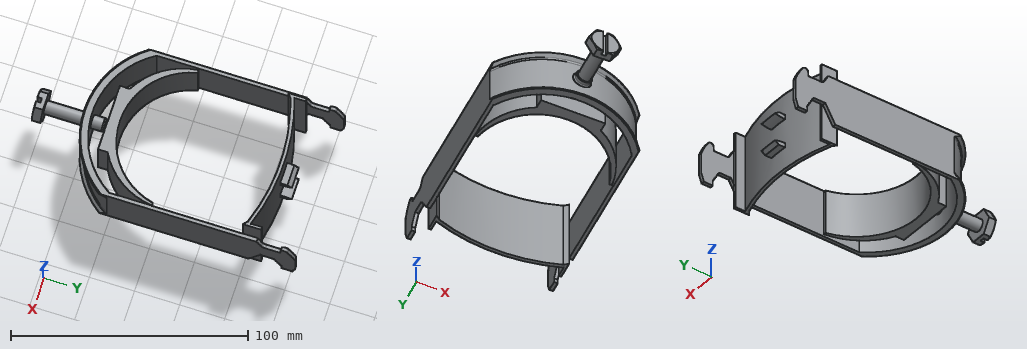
import cadquery as cq
import math


outer_width = 68.0
leg_end_y = 62.8
strap_thickness = 1.8
strap_height = 23.8
bow_outer_radius = 39.8

lip_angle = 45.0
lip_root_z = 9.7
lip_reach = 1.9
lip_edge_chamfer = 0.5
lip_root_radius = 1.3

neck_top_z = 7.3
neck_bottom_z = -2.9
shoulder_angle = 60.0
shoulder_top_y = 45.7
shoulder_bottom_y = 42.0
shoulder_fillet = 2.0
lobe_radius = 1.6
lobe_centre_y = 57.9
lobe_centre_z = 9.2
lobe_root_fillet = 0.5
back_mid_point = (61.2, 6.8)
back_top_z = 3.3
back_bottom_z = -7.3
beak_z = -11.2
beak_outer_y = 61.5
beak_inner_y = 56.7
beak_root_y = 53.3

shank_radius = 3.0
point_radius = 2.3
point_length = 1.6
point_chamfer = 0.4
point_chamfer_length = 0.8
head_end_y = -62.8
head_height = 4.0
head_across_corners = 15.0
head_face_radius = 6.4
head_chamfer_depth = 0.4
slot_width = 2.0
slot_depth = 2.0
collar_radius = 3.6
collar_height = 2.1
collar_fillet = 0.6

saddle_height = 22.2
saddle_tip_y = -1.4
saddle_inner_radius = 31.4
saddle_inner_centre_y = 5.5
saddle_outer_radius = 32.0
saddle_outer_centre_y = 1.9
saddle_pad_width = 29.9
saddle_pad_y = -30.7

bridge_width = 61.7
bridge_height = 39.0
bridge_thickness = 1.6
bridge_outer_radius = 91.2
bridge_crown_y = 46.7
bridge_end_y = 38.7
flange_thickness = 1.3
flange_heel = 2.0
clip_width = 9.5
clip_tip = (51.8, 7.0)
clip_inner_mid = (49.7, 6.5)
clip_inner_root_z = 6.3
clip_outer_z = 8.5
clip_bevel_y = 49.8

half_width = outer_width / 2
half_height = strap_height / 2
bow_inner_radius = bow_outer_radius - strap_thickness
leg_inner_x = half_width - strap_thickness
leg_base_y = -math.sqrt(bow_inner_radius**2 - leg_inner_x**2)
head_base_y = head_end_y + head_height
head_radius = head_across_corners / 2
saddle_pad_half = saddle_pad_width / 2


def circle_y(x, radius, centre_y):
    """Y of the upper half of a circle centred on the Y axis, at x."""
    return centre_y + math.sqrt(radius**2 - x**2)


def prism_z(outline, height):
    """Extrude an XY outline symmetrically about Z = 0."""
    return outline.extrude(height / 2, both=True)


def make_leg():
    """One flat leg with a hooked end, on the +X side."""
    run = math.tan(math.radians(shoulder_angle))
    neck_top_y = shoulder_top_y + (half_height - neck_top_z) / run
    neck_bottom_y = shoulder_bottom_y + (half_height + neck_bottom_z) / run
    beak_slope_z = neck_bottom_z - (beak_inner_y - beak_root_y) * run
    lobe_wall_y = lobe_centre_y - lobe_radius
    lobe_end_angle = math.radians(90 - shoulder_angle)
    lobe_end = (
        lobe_centre_y + lobe_radius * math.cos(lobe_end_angle),
        lobe_centre_z + lobe_radius * math.sin(lobe_end_angle),
    )
    leg = (
        cq.Workplane("YZ", origin=(leg_inner_x, 0, 0))
        .moveTo(leg_base_y, -half_height)
        .lineTo(leg_base_y, half_height)
        .lineTo(shoulder_top_y, half_height)
        .lineTo(neck_top_y, neck_top_z)
        .lineTo(lobe_wall_y, neck_top_z)
        .lineTo(lobe_wall_y, lobe_centre_z)
        .threePointArc((lobe_centre_y, lobe_centre_z + lobe_radius), lobe_end)
        .threePointArc(back_mid_point, (leg_end_y, back_top_z))
        .lineTo(leg_end_y, back_bottom_z)
        .lineTo(beak_outer_y, beak_z)
        .lineTo(beak_inner_y, beak_z)
        .lineTo(beak_inner_y, beak_slope_z)
        .lineTo(beak_root_y, neck_bottom_z)
        .lineTo(neck_bottom_y, neck_bottom_z)
        .lineTo(shoulder_bottom_y, -half_height)
        .close()
        .extrude(strap_thickness)
    )
    for corner_y, radius in ((neck_top_y, shoulder_fillet), (lobe_wall_y, lobe_root_fillet)):
        corner = cq.selectors.NearestToPointSelector((half_width, corner_y, neck_top_z))
        leg = leg.edges("|X").edges(corner).fillet(radius)
    return leg


def make_bow():
    """Curved front of the strap with a flared lip along both edges."""
    tangent = lip_root_radius * math.tan(math.radians(lip_angle / 2))
    web_end_z = lip_root_z - tangent
    flare_r = bow_outer_radius + tangent * math.sin(math.radians(lip_angle))
    flare_z = lip_root_z + tangent * math.cos(math.radians(lip_angle))
    tip_r = bow_outer_radius + lip_reach
    tip_z = lip_root_z + lip_reach / math.tan(math.radians(lip_angle))
    upper_half = (
        cq.Workplane("XZ")
        .moveTo(bow_inner_radius, 0)
        .lineTo(bow_outer_radius, 0)
        .lineTo(bow_outer_radius, web_end_z)
        .tangentArcPoint((flare_r, flare_z), relative=False)
        .lineTo(tip_r, tip_z)
        .lineTo(tip_r - lip_edge_chamfer, half_height)
        .lineTo(bow_inner_radius, half_height)
        .close()
        .revolve(360, (0, 0, 0), (0, 1, 0))
    )
    ring = upper_half.union(upper_half.mirror("XY"))
    bow_length = bow_outer_radius + lip_reach + leg_base_y
    front = cq.Workplane("XY").box(outer_width, bow_length, strap_height, centered=(True, False, True))
    return ring.intersect(front.translate((0, leg_base_y - bow_length, 0)))


def make_collar():
    """Raised collar around the screw on the outside of the bow, flared at its root."""
    collar_end_y = -bow_outer_radius - collar_height
    root_y = -bow_outer_radius
    return (
        cq.Workplane("XY")
        .moveTo(0, collar_end_y)
        .lineTo(collar_radius, collar_end_y)
        .lineTo(collar_radius, root_y - collar_fillet)
        .tangentArcPoint((collar_radius + collar_fillet, root_y), relative=False)
        .lineTo(collar_radius + collar_fillet, root_y + strap_thickness / 2)
        .lineTo(0, root_y + strap_thickness / 2)
        .close()
        .revolve(360, (0, 0, 0), (0, 1, 0))
    )


def make_screw():
    """Slotted hexagon-head screw along Y, its point meeting the saddle pad."""
    point_base_y = saddle_pad_y - point_length
    shank_end_y = point_base_y - point_chamfer_length
    shank = (
        cq.Workplane("XY")
        .moveTo(0, head_base_y)
        .lineTo(shank_radius, head_base_y)
        .lineTo(shank_radius, shank_end_y)
        .lineTo(shank_radius - point_chamfer, point_base_y)
        .lineTo(point_radius, point_base_y)
        .lineTo(point_radius, saddle_pad_y)
        .lineTo(0, saddle_pad_y)
        .close()
        .revolve(360, (0, 0, 0), (0, 1, 0))
    )
    hexagon = (
        cq.Workplane("XZ", origin=(0, head_base_y, 0))
        .polygon(6, head_across_corners)
        .extrude(head_height)
    )
    chamfered_disc = (
        cq.Workplane("XY")
        .moveTo(0, head_base_y)
        .lineTo(head_radius, head_base_y)
        .lineTo(head_radius, head_end_y + head_chamfer_depth)
        .lineTo(head_face_radius, head_end_y)
        .lineTo(0, head_end_y)
        .close()
        .revolve(360, (0, 0, 0), (0, 1, 0))
    )
    slot = (
        cq.Workplane("XY", origin=(0, head_end_y, 0))
        .box(slot_width, slot_depth, head_across_corners, centered=(True, False, True))
    )
    head = hexagon.intersect(chamfered_disc).cut(slot)
    return shank.union(head)


def make_saddle():
    """Crescent-shaped pressure saddle with a flat pad for the screw."""
    tip_inner_x = math.sqrt(saddle_inner_radius**2 - (saddle_tip_y - saddle_inner_centre_y) ** 2)
    tip_outer_x = math.sqrt(saddle_outer_radius**2 - (saddle_tip_y - saddle_outer_centre_y) ** 2)
    pad_root_y = saddle_outer_centre_y - math.sqrt(saddle_outer_radius**2 - saddle_pad_half**2)
    arc_mid_x = (tip_outer_x + saddle_pad_half) / 2
    arc_mid_y = saddle_outer_centre_y - math.sqrt(saddle_outer_radius**2 - arc_mid_x**2)
    outline = (
        cq.Workplane("XY")
        .moveTo(-tip_inner_x, saddle_tip_y)
        .threePointArc((0, saddle_inner_centre_y - saddle_inner_radius), (tip_inner_x, saddle_tip_y))
        .lineTo(tip_outer_x, saddle_tip_y)
        .threePointArc((arc_mid_x, arc_mid_y), (saddle_pad_half, pad_root_y))
        .lineTo(saddle_pad_half, saddle_pad_y)
        .lineTo(-saddle_pad_half, saddle_pad_y)
        .lineTo(-saddle_pad_half, pad_root_y)
        .threePointArc((-arc_mid_x, arc_mid_y), (-tip_outer_x, saddle_tip_y))
        .close()
    )
    return prism_z(outline, saddle_height)


def make_clamp():
    """Strap, screw and saddle, joined into one body."""
    leg = make_leg()
    strap = make_bow().union(leg).union(leg.mirror("YZ"))
    return strap.union(make_collar()).union(make_screw()).union(make_saddle())


def make_clip():
    """Barbed clip on the back of the bridge, on the +Z side."""
    root_y = bridge_crown_y - bridge_thickness / 2
    return (
        cq.Workplane("YZ")
        .moveTo(root_y, clip_inner_root_z)
        .threePointArc(clip_inner_mid, clip_tip)
        .lineTo(clip_bevel_y, clip_outer_z)
        .lineTo(root_y, clip_outer_z)
        .close()
        .extrude(clip_width / 2, both=True)
    )


def make_bridge():
    """Arched counter plate with a flange at each end and two clips behind its crown."""
    centre_y = bridge_crown_y - bridge_outer_radius
    inner_radius = bridge_outer_radius - bridge_thickness
    half = bridge_width / 2
    flange_inner_x = half - flange_thickness
    heel_x = half - flange_heel
    flange_foot_y = circle_y(flange_inner_x, bridge_outer_radius, centre_y)
    heel_y = circle_y(heel_x, inner_radius, centre_y)
    outline = (
        cq.Workplane("XY")
        .moveTo(-half, bridge_end_y)
        .lineTo(-half, bridge_crown_y)
        .lineTo(-flange_inner_x, bridge_crown_y)
        .lineTo(-flange_inner_x, flange_foot_y)
        .threePointArc((0, bridge_crown_y), (flange_inner_x, flange_foot_y))
        .lineTo(flange_inner_x, bridge_crown_y)
        .lineTo(half, bridge_crown_y)
        .lineTo(half, bridge_end_y)
        .lineTo(heel_x, heel_y)
        .threePointArc((0, bridge_crown_y - bridge_thickness), (-heel_x, heel_y))
        .close()
    )
    clip = make_clip()
    return prism_z(outline, bridge_height).union(clip).union(clip.mirror("XY"))


clamp = make_clamp()
bridge = make_bridge()

result = cq.Compound.makeCompound([clamp.solids().val(), bridge.solids().val()])